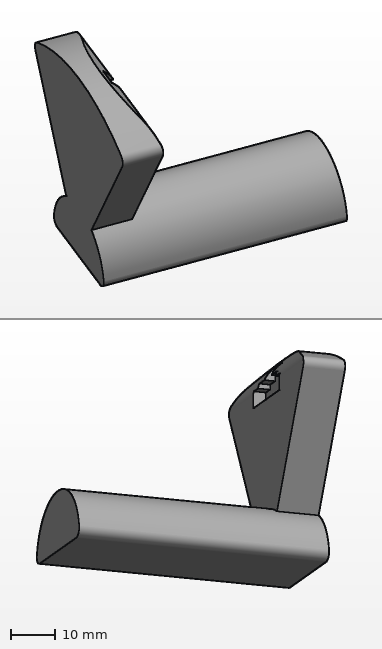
import cadquery as cq
import math

length = 60.0
bar_radius = 14.0
corner_radius = 2.0

fan_radius = 50.0
fan_half_angle = math.radians(30)
plate_thickness = 10.0

slope_depth = 4.6
slope_blend_radius = 6.0

recess_depth = 3.0
recess_bottom = 40.0
recess_steps = [
    (16.8, 44.0),
    (11.3, 45.1),
    (4.7, fan_radius),
]


def make_bar():
    """Half cylinder lying on its flat, with both lower edges rounded."""
    half_disc = (
        cq.Workplane("XZ")
        .moveTo(-bar_radius, 0)
        .threePointArc((0, bar_radius), (bar_radius, 0))
        .close()
        .extrude(-length)
    )
    return half_disc.edges("|Y").fillet(corner_radius)


def make_fan():
    """Sector centred on the bar axis, with rounded outer corners."""
    corner_x = fan_radius * math.sin(fan_half_angle)
    corner_z = fan_radius * math.cos(fan_half_angle)
    sector = (
        cq.Workplane("XZ")
        .lineTo(-corner_x, corner_z)
        .threePointArc((0, fan_radius), (corner_x, corner_z))
        .close()
        .extrude(-plate_thickness)
    )
    outer_edges = sector.edges("|Y").edges(cq.selectors.BoxSelector(
        (-fan_radius, 0, corner_z / 2),
        (fan_radius, plate_thickness, fan_radius),
    ))
    return outer_edges.fillet(corner_radius)


def make_side_limit():
    """Prism that keeps the plate below the blended slope on its back."""
    side_profile = (
        cq.Workplane("YZ")
        .polyline([
            (0, 0),
            (plate_thickness, 0),
            (plate_thickness, fan_radius - slope_depth),
            (plate_thickness - slope_depth, fan_radius),
            (0, fan_radius),
        ])
        .close()
        .extrude(fan_radius, both=True)
    )
    slope_foot = cq.selectors.NearestToPointSelector((0, plate_thickness, fan_radius - slope_depth))
    return side_profile.edges("|X").edges(slope_foot).fillet(slope_blend_radius)


def make_recess():
    """Stepped pocket sunk into the back face of the plate."""
    recess = cq.Workplane("XY")
    for width, top in recess_steps:
        step = (
            cq.Workplane("XY")
            .box(width, recess_depth, top - recess_bottom, centered=(True, False, False))
            .translate((0, plate_thickness - recess_depth, recess_bottom))
        )
        recess = recess.add(step)
    return recess.combine()


plate = make_fan().intersect(make_side_limit()).cut(make_recess())
result = make_bar().union(plate)